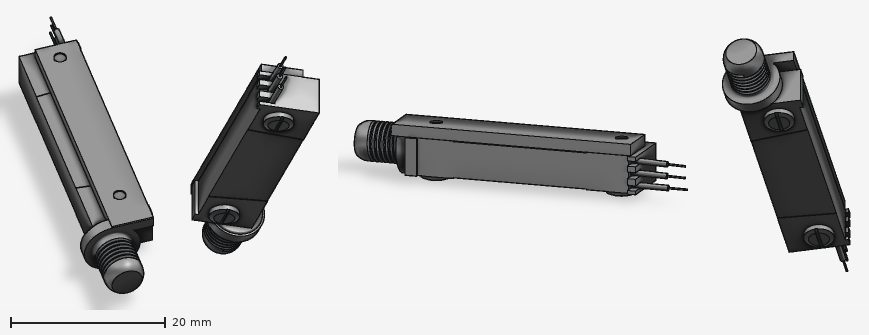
import cadquery as cq
import math


block_length = 31.65
block_front_y = -1.95
block_back_y = 5.7
block_bottom_z = -2.6
block_top_z = 2.4
ear_back_y = 6.15
wire_ear_length = 1.1
far_ear_length = 1.6

relief_depth = 0.1
relief_start_front = 7.45
relief_end_front = 24.25
relief_start_back = 6.9
relief_end_back = 25.2

wires = [
    (1.5, 4.35, 1.8, -3.75, -6.25, 0.7),
    (-0.1, 4.45, 1.4, -3.75, -6.25, 0.9),
    (-1.75, 4.35, 0.4, -3.9, -6.45, 0.7),
]
insulation_diameter = 0.75
conductor_diameter = 0.25

screw_xs = [3.1, 28.55]
screw_y = 2.65
head_diameter = 3.95
head_height = 0.95
head_chamfer_height = 0.25
head_chamfer_width = 0.6
driver_slot_width = 0.35
driver_slot_depth = 0.3
hole_diameter = 1.65
hole_depth = 0.25

plate_start = 0.85
plate_back_y = 5.62
plate_top_z = 3.95
plate_bevel_length = 0.15
plate_bevel_drop = 0.1

flange_end = 33.7
flange_radius = 3.8
seat_radius = 2.55
cone_length = 0.15
seat_edge_radius = 3.55
rim_start_offset = 0.4
seat_edge_fillet = 0.2

bushing_end = 40.0
bushing_radius = 2.65
neck_fillet = 0.2
nose_start = 38.6
nose_end_radius = 2.05
thread_start = 34.35
thread_length = 3.9
thread_turns = 6.25
groove_width = 0.45
groove_depth = 0.25
groove_overshoot = 0.05


def box(x0, x1, y0, y1, z0, z1):
    """Box between two opposite corners."""
    return cq.Workplane("XY").box(x1 - x0, y1 - y0, z1 - z0, centered=False).translate((x0, y0, z0))


def relief(bottom_z):
    """Tapered cutter one relief depth thick."""
    return (
        cq.Workplane("XY", origin=(0, 0, bottom_z))
        .moveTo(relief_start_front, block_front_y)
        .lineTo(relief_end_front, block_front_y)
        .lineTo(relief_end_back, block_back_y)
        .lineTo(relief_start_back, block_back_y)
        .close()
        .extrude(relief_depth)
    )


def wire(height, y, drop, insulation_end, tip):
    """Insulated lead with a bare conductor, starting inside the ear and sloping down toward its tip."""
    slope = math.radians(drop)
    direction = cq.Vector(-math.cos(slope), 0, -math.sin(slope))
    base = cq.Vector(wire_ear_length, y, height + wire_ear_length * math.tan(slope))
    insulation_length = (wire_ear_length - insulation_end) / math.cos(slope)
    full_length = (wire_ear_length - tip) / math.cos(slope)
    insulation = cq.Solid.makeCylinder(insulation_diameter / 2, insulation_length, base, direction)
    conductor = cq.Solid.makeCylinder(conductor_diameter / 2, full_length, base, direction)
    return cq.Workplane(insulation.fuse(conductor))


def screw_head(x):
    """Chamfered round head with a driver slot along X."""
    head_radius = head_diameter / 2
    head = (
        cq.Workplane("XY", origin=(x, screw_y, block_bottom_z))
        .circle(head_radius)
        .extrude(-head_height)
        .faces("<Z")
        .chamfer(head_chamfer_height, head_chamfer_width)
    )
    head_bottom_z = block_bottom_z - head_height
    slot = box(
        x - head_radius,
        x + head_radius,
        screw_y - driver_slot_width / 2,
        screw_y + driver_slot_width / 2,
        head_bottom_z,
        head_bottom_z + driver_slot_depth,
    )
    return head.cut(slot)


def make_block():
    """Sensor block with its ears, wires and screw heads."""
    block = box(0, block_length, block_front_y, block_back_y, block_bottom_z, block_top_z)
    ear_spans = [(0, wire_ear_length), (block_length - far_ear_length, block_length)]
    for ear_start, ear_end in ear_spans:
        ear = box(ear_start, ear_end, block_back_y, ear_back_y, block_bottom_z, block_top_z)
        block = block.union(ear)
    block = block.cut(relief(block_top_z - relief_depth)).cut(relief(block_bottom_z))
    for height, y, drop, insulation_end, tip, slot_height in wires:
        slot_bottom_z = height - slot_height / 2
        slot_end_y = y - insulation_diameter / 2
        slot = box(0, wire_ear_length, slot_end_y, ear_back_y, slot_bottom_z, slot_bottom_z + slot_height)
        block = block.cut(slot).union(wire(height, y, drop, insulation_end, tip))
    for x in screw_xs:
        block = block.union(screw_head(x))
    return block


def make_turned_part():
    """Stepped flange and smooth bushing with a rounded nose, revolved about the X axis."""
    nose_length = bushing_end - nose_start
    nose_drop = bushing_radius - nose_end_radius
    nose_radius = (nose_length**2 + nose_drop**2) / (2 * nose_drop)
    half_angle = math.asin(nose_length / nose_radius) / 2
    nose_middle_x = nose_start + nose_radius * math.sin(half_angle)
    nose_middle_radius = bushing_radius - nose_radius * (1 - math.cos(half_angle))
    neck_middle = neck_fillet * (1 - math.sqrt(0.5))
    return (
        cq.Workplane("XY")
        .moveTo(block_length, 0)
        .lineTo(block_length, seat_radius)
        .lineTo(block_length + cone_length, seat_edge_radius - seat_edge_fillet)
        .radiusArc((block_length + cone_length + seat_edge_fillet, seat_edge_radius), seat_edge_fillet)
        .lineTo(block_length + rim_start_offset, seat_edge_radius)
        .lineTo(block_length + rim_start_offset, flange_radius)
        .lineTo(flange_end, flange_radius)
        .lineTo(flange_end, bushing_radius + neck_fillet)
        .threePointArc(
            (flange_end + neck_middle, bushing_radius + neck_middle),
            (flange_end + neck_fillet, bushing_radius),
        )
        .lineTo(nose_start, bushing_radius)
        .threePointArc((nose_middle_x, nose_middle_radius), (bushing_end, nose_end_radius))
        .lineTo(bushing_end, 0)
        .close()
        .revolve(360, (0, 0, 0), (1, 0, 0))
    )


def thread_groove():
    """Right-hand V groove wound about the X axis, starting on the front side and ending at the bottom."""
    root_radius = bushing_radius - groove_depth
    outer_radius = bushing_radius + groove_overshoot
    outer_half_width = groove_width / 2 * (outer_radius - root_radius) / groove_depth
    helix = cq.Wire.makeHelix(thread_length / thread_turns, thread_length, root_radius)
    groove = (
        cq.Workplane("XZ")
        .moveTo(root_radius, 0)
        .lineTo(outer_radius, outer_half_width)
        .lineTo(outer_radius, -outer_half_width)
        .close()
        .sweep(cq.Workplane(helix), isFrenet=True)
    )
    return (
        groove.rotate((0, 0, 0), (0, 0, 1), -90)
        .rotate((0, 0, 0), (0, 1, 0), 90)
        .translate((thread_start, 0, 0))
    )


def make_bracket():
    """Mounting plate, flange and threaded bushing in one piece."""
    plate = (
        cq.Workplane("XZ")
        .moveTo(plate_start, block_top_z)
        .lineTo(flange_end, block_top_z)
        .lineTo(flange_end, plate_top_z - plate_bevel_drop)
        .lineTo(flange_end - plate_bevel_length, plate_top_z)
        .lineTo(plate_start, plate_top_z)
        .close()
        .extrude(-plate_back_y)
    )
    for x in screw_xs:
        hole = cq.Workplane("XY", origin=(x, screw_y, plate_top_z))
        plate = plate.cut(hole.circle(hole_diameter / 2).extrude(-hole_depth))
    return make_turned_part().cut(thread_groove()).union(plate)


block = make_block()
bracket = make_bracket()
result = cq.Compound.makeCompound([block.solids().val(), bracket.solids().val()])